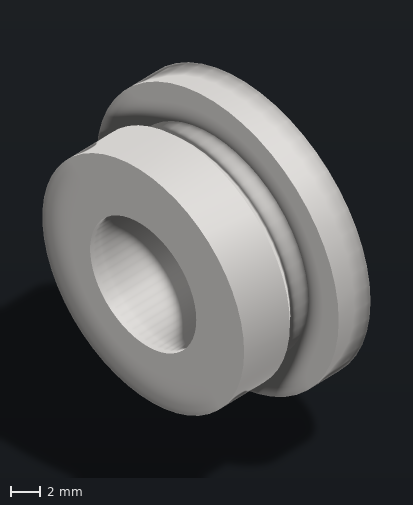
import cadquery as cq

flange_diameter = 24.0
body_diameter = 20.0
neck_diameter = 18.0
bore_diameter = 10.5

total_length = 10.0
flange_thickness = 3.0
body_length = 4.32

flange_radius = flange_diameter / 2
body_radius = body_diameter / 2
neck_radius = neck_diameter / 2
bore_radius = bore_diameter / 2

shoulder_length = body_radius - neck_radius
neck_start = body_length + shoulder_length
flange_start = total_length - flange_thickness

half_section = [
    (bore_radius, 0),
    (body_radius, 0),
    (body_radius, body_length),
    (neck_radius, neck_start),
    (neck_radius, flange_start),
    (flange_radius, flange_start),
    (flange_radius, total_length),
    (bore_radius, total_length),
]

result = (
    cq.Workplane("XY")
    .polyline(half_section)
    .close()
    .revolve(360, (0, 0, 0), (0, 1, 0))
)